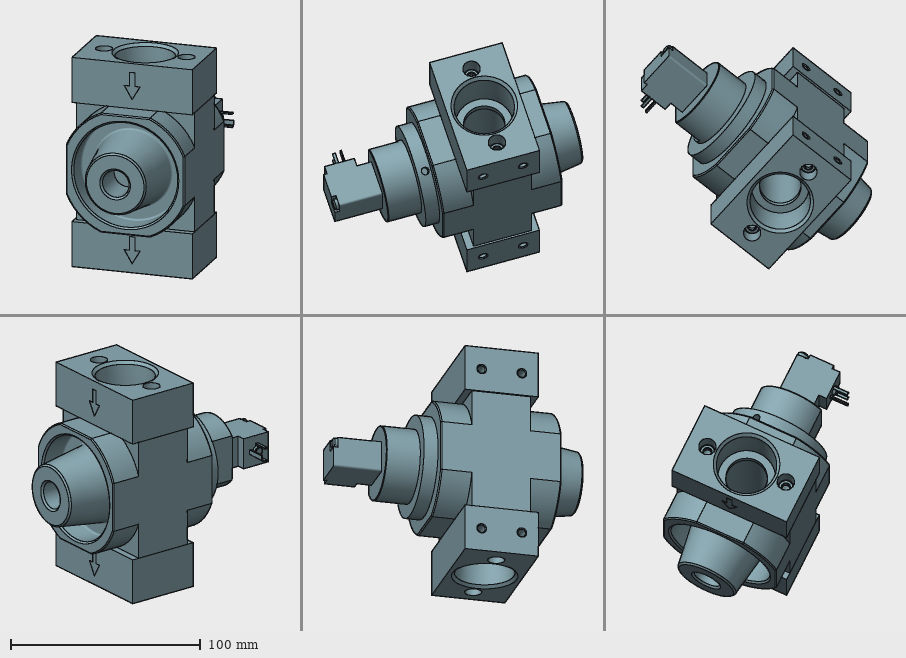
import cadquery as cq
import math

HOUSING_SIDE = 66.0
HOUSING_LENGTH = 66.0
CORNER_DIAMETER = 71.4
BAND_WIDTH = 32.1
EDGE_CHAMFER = 0.7

RECESS_DIAMETER = 57.9
RECESS_MOUTH_CHAMFER = 1.0
RECESS_DEPTH = 13.4
RECESS_FILLET = 1.1

SPOUT_PROJECTION = 16.5
SPOUT_TIP_DIAMETER = 34.0
SPOUT_BASE_DIAMETER = 42.7
SPOUT_CHAMFER = 1.0
SPOUT_BORE_DIAMETER = 14.8
SPOUT_BORE_DEPTH = 20.2
SPOUT_BORE_CHAMFER = 1.1

FLOW_DIAMETER = 22.0

BLOCK_HEIGHT = 25.0
BLOCK_DEPTH = 40.1
BLOCK_OVERHANG = 1.1
PORT_MOUTH_DIAMETER = 35.1
PORT_CHAMFER = 1.6
PORT_TAPER_DEPTH = 15.8
PORT_ROOT_DIAMETER = 30.5
PORT_DEPTH = 21.6
SIDE_HOLE_SPACING = 22.0
SIDE_HOLE_DIAMETER = 4.2
SIDE_HOLE_MOUTH_DIAMETER = 5.3
SIDE_HOLE_DEPTH = 9.5
DRILL_POINT_ANGLE = 118.0
ARROW_LENGTH = 15.0
ARROW_HEAD_LENGTH = 7.4
ARROW_HEAD_WIDTH = 8.8
ARROW_SHAFT_WIDTH = 3.0
ARROW_START = 5.0
ARROW_DEPTH = 0.1

SCREW_SPACING = 45.9
SCREW_HOLE_DIAMETER = 9.0
SCREW_HOLE_DEPTH = 13.5
SCREW_HEAD_DIAMETER = 8.5
SCREW_HEAD_HEIGHT = 5.0
SCREW_HEAD_CHAMFER = 0.5
SCREW_SHANK_DIAMETER = 5.0
SCREW_ENGAGEMENT = 8.1
SOCKET_DIAMETER = 4.0
SOCKET_CHAMFER = 0.4
SOCKET_DEPTH = 2.7

RING_DIAMETER = 55.0
RING_LENGTH = 7.7
RING_HOLE_DIAMETER = 4.0
RING_HOLE_DEPTH = 5.4
RING_HOLE_ANGLE = 25.0
RING_HOLE_FROM_HOUSING = 3.1

SLEEVE_DIAMETER = 40.0
SLEEVE_LENGTH = 18.5
SLEEVE_COLLAR = 2.0
SLEEVE_FLAT_OFFSET = 15.5
SLEEVE_CHAMFER = 0.4

COIL_WIDTH = 20.2
COIL_HEIGHT = 17.1
COIL_LENGTH = 26.3
COIL_FILLET = 1.1
NOTCH_WIDTH = 6.5
NOTCH_HEIGHT = 6.0
NOTCH_DEPTH = 2.5
KNOB_DIAMETER = 6.0
KNOB_CHAMFER = 0.8

PLUG_PROJECTION = 4.6
PLUG_LENGTH = 16.5
PLUG_SETBACK = 1.9
HUB_SETBACK = 9.6
HUB_DIAMETER = 5.0
HUB_LENGTH = 1.8
HUB_TIP_DIAMETER = 4.2
HUB_TIP_LENGTH = 0.7
CONTACT_LENGTH = 8.4
CONTACT_WIDTH = 1.6
CONTACT_THICKNESS = 0.8
CONTACT_SPACING = 7.3
CONTACT_TIP_CHAMFER = 0.3
EARTH_SETBACK = 13.9
EARTH_LENGTH = 10.4
EARTH_WIDTH = 2.5
EARTH_THICKNESS = 0.8

half_side = HOUSING_SIDE / 2
front_y = -HOUSING_LENGTH / 2
back_y = HOUSING_LENGTH / 2
tip_y = front_y - SPOUT_PROJECTION
floor_y = front_y + RECESS_DEPTH
sleeve_y = back_y + RING_LENGTH
coil_y = sleeve_y + SLEEVE_LENGTH
coil_end_y = coil_y + COIL_LENGTH
block_top_z = half_side + BLOCK_HEIGHT
screw_seat_z = block_top_z - SCREW_HOLE_DEPTH


def y_cylinder(diameter, start_y, length):
    """Cylinder on the valve axis, running toward +Y from start_y."""
    return cq.Workplane("XZ", origin=(0, start_y, 0)).circle(diameter / 2).extrude(-length)


def y_revolve(profile):
    """Solid of revolution about the valve axis from (radius, y) points."""
    return cq.Workplane("XY").polyline(profile).close().revolve(360, (0, 0, 0), (0, 1, 0))


def z_cylinder(diameter, bottom_z, height, x=0.0):
    """Vertical cylinder rising from bottom_z at the given X."""
    return cq.Workplane("XY", origin=(x, 0, bottom_z)).circle(diameter / 2).extrude(height)


def screw_positions():
    return [-SCREW_SPACING / 2, SCREW_SPACING / 2]


def turned_over(body):
    """Copy of a body from the upper side, mirrored to the lower side."""
    return body.mirror("XY")


def housing_shell():
    prism = cq.Workplane("XY").box(HOUSING_SIDE, HOUSING_LENGTH, HOUSING_SIDE)
    round_stock = y_cylinder(CORNER_DIAMETER, front_y, HOUSING_LENGTH)
    rounded = prism.intersect(round_stock).faces("<Y or >Y").chamfer(EDGE_CHAMFER)
    band = cq.Workplane("XY").box(HOUSING_SIDE, BAND_WIDTH, HOUSING_SIDE)
    return rounded.union(band)


def spout_cone():
    """Tapered spout from its chamfered tip to the recess floor."""
    tip_radius = SPOUT_TIP_DIAMETER / 2
    return y_revolve([
        (0, tip_y),
        (tip_radius - SPOUT_CHAMFER, tip_y),
        (tip_radius, tip_y + SPOUT_CHAMFER),
        (SPOUT_BASE_DIAMETER / 2, floor_y),
        (0, floor_y),
    ])


def annular_recess():
    """Recess around the spout, filleted along both edges of its floor."""
    mouth_y = front_y + RECESS_MOUTH_CHAMFER
    wall_radius = RECESS_DIAMETER / 2
    mouth = y_revolve([
        (0, front_y),
        (wall_radius + RECESS_MOUTH_CHAMFER, front_y),
        (wall_radius, mouth_y),
        (0, mouth_y),
    ])
    recess = y_cylinder(RECESS_DIAMETER, front_y, RECESS_DEPTH).union(mouth).cut(spout_cone())
    return recess.faces(">Y").edges().fillet(RECESS_FILLET)


def spout_bore():
    bore_radius = SPOUT_BORE_DIAMETER / 2
    return y_revolve([
        (0, tip_y),
        (bore_radius + SPOUT_BORE_CHAMFER, tip_y),
        (bore_radius, tip_y + SPOUT_BORE_CHAMFER),
        (bore_radius, tip_y + SPOUT_BORE_DEPTH),
        (0, tip_y + SPOUT_BORE_DEPTH),
    ])


def make_housing():
    body = housing_shell().cut(annular_recess()).union(spout_cone()).cut(spout_bore())
    body = body.cut(z_cylinder(FLOW_DIAMETER, -half_side, HOUSING_SIDE))
    for x in screw_positions():
        hole = z_cylinder(SCREW_SHANK_DIAMETER, half_side - SCREW_ENGAGEMENT, SCREW_ENGAGEMENT, x)
        body = body.cut(hole).cut(turned_over(hole))
    return body


def port_cavity():
    mouth_radius = PORT_MOUTH_DIAMETER / 2
    root_radius = PORT_ROOT_DIAMETER / 2
    profile = [
        (0, block_top_z),
        (mouth_radius, block_top_z),
        (mouth_radius - PORT_CHAMFER, block_top_z - PORT_CHAMFER),
        (root_radius, block_top_z - PORT_TAPER_DEPTH),
        (root_radius, block_top_z - PORT_DEPTH),
        (0, block_top_z - PORT_DEPTH),
    ]
    return cq.Workplane("XZ").polyline(profile).close().revolve(360, (0, 0, 0), (0, 1, 0))


def side_hole(y):
    """Blind drilled hole with a countersunk mouth in the overhanging -X side."""
    radius = SIDE_HOLE_DIAMETER / 2
    mouth_radius = SIDE_HOLE_MOUTH_DIAMETER / 2
    point_length = radius / math.tan(math.radians(DRILL_POINT_ANGLE / 2))
    profile = [
        (0, 0),
        (0, mouth_radius),
        (mouth_radius - radius, radius),
        (SIDE_HOLE_DEPTH, radius),
        (SIDE_HOLE_DEPTH + point_length, 0),
    ]
    hole = cq.Workplane("XY").polyline(profile).close().revolve(360, (0, 0, 0), (1, 0, 0))
    return hole.translate((-half_side - BLOCK_OVERHANG, y, half_side + BLOCK_HEIGHT / 2))


def flow_arrow(tail_z):
    """Shallow arrow engraved in the front face, pointing down from tail_z."""
    arrow_x = -BLOCK_OVERHANG / 2
    shaft = ARROW_SHAFT_WIDTH / 2
    head = ARROW_HEAD_WIDTH / 2
    shoulder_z = tail_z - ARROW_LENGTH + ARROW_HEAD_LENGTH
    outline = [
        (arrow_x - shaft, tail_z),
        (arrow_x + shaft, tail_z),
        (arrow_x + shaft, shoulder_z),
        (arrow_x + head, shoulder_z),
        (arrow_x, tail_z - ARROW_LENGTH),
        (arrow_x - head, shoulder_z),
        (arrow_x - shaft, shoulder_z),
    ]
    plane = cq.Workplane("XZ", origin=(0, -BLOCK_DEPTH / 2, 0))
    return plane.polyline(outline).close().extrude(-ARROW_DEPTH)


def make_plain_block():
    """Upper port block without its arrow."""
    block = cq.Workplane("XY").box(HOUSING_SIDE + BLOCK_OVERHANG, BLOCK_DEPTH, BLOCK_HEIGHT)
    block = block.translate((-BLOCK_OVERHANG / 2, 0, half_side + BLOCK_HEIGHT / 2))
    block = block.cut(port_cavity()).cut(z_cylinder(FLOW_DIAMETER, half_side, BLOCK_HEIGHT))
    for y in (-SIDE_HOLE_SPACING / 2, SIDE_HOLE_SPACING / 2):
        block = block.cut(side_hole(y))
    for x in screw_positions():
        block = block.cut(z_cylinder(SCREW_HOLE_DIAMETER, screw_seat_z, SCREW_HOLE_DEPTH, x))
        block = block.cut(z_cylinder(SCREW_SHANK_DIAMETER, half_side, BLOCK_HEIGHT, x))
    return block


def make_blocks():
    upper = make_plain_block()
    lower = turned_over(upper)
    upper_tail_z = block_top_z - ARROW_START
    lower_tail_z = -half_side - ARROW_START
    return [upper.cut(flow_arrow(upper_tail_z)), lower.cut(flow_arrow(lower_tail_z))]


def make_screw(x):
    head = z_cylinder(SCREW_HEAD_DIAMETER, screw_seat_z, SCREW_HEAD_HEIGHT, x)
    head = head.faces(">Z").chamfer(SCREW_HEAD_CHAMFER)
    socket_radius = SOCKET_DIAMETER / 2
    point_length = socket_radius / math.tan(math.radians(DRILL_POINT_ANGLE / 2))
    profile = [
        (0, 0),
        (socket_radius + SOCKET_CHAMFER, 0),
        (socket_radius, -SOCKET_CHAMFER),
        (socket_radius, -SOCKET_DEPTH),
        (0, -SOCKET_DEPTH - point_length),
    ]
    socket = cq.Workplane("XZ").polyline(profile).close().revolve(360, (0, 0, 0), (0, 1, 0))
    head = head.cut(socket.translate((x, 0, screw_seat_z + SCREW_HEAD_HEIGHT)))
    shank_bottom_z = half_side - SCREW_ENGAGEMENT
    shank = z_cylinder(SCREW_SHANK_DIAMETER, shank_bottom_z, screw_seat_z - shank_bottom_z, x)
    return head.union(shank)


def make_screws():
    screws = []
    for x in screw_positions():
        screw = make_screw(x)
        screws += [screw, turned_over(screw)]
    return screws


def make_ring():
    ring = y_cylinder(RING_DIAMETER, back_y, RING_LENGTH)
    hole = z_cylinder(RING_HOLE_DIAMETER, RING_DIAMETER / 2 - RING_HOLE_DEPTH, 2 * RING_HOLE_DEPTH)
    hole = hole.rotate((0, 0, 0), (0, 1, 0), -RING_HOLE_ANGLE)
    return ring.cut(hole.translate((0, back_y + RING_HOLE_FROM_HOUSING, 0)))


def make_sleeve():
    sleeve = y_cylinder(SLEEVE_DIAMETER, sleeve_y, SLEEVE_LENGTH)
    sleeve = sleeve.faces(">Y").chamfer(SLEEVE_CHAMFER)
    flat = cq.Workplane("XY").box(
        SLEEVE_DIAMETER, SLEEVE_LENGTH, SLEEVE_DIAMETER, centered=(False, False, True)
    )
    return sleeve.cut(flat.translate((SLEEVE_FLAT_OFFSET, sleeve_y + SLEEVE_COLLAR, 0)))


def coil_case():
    case = cq.Workplane("XY").box(COIL_WIDTH, COIL_LENGTH, COIL_HEIGHT, centered=(True, False, True))
    case = case.translate((0, coil_y, 0)).edges("|Y and <X").fillet(COIL_FILLET)
    notch = cq.Workplane("XY").box(NOTCH_WIDTH, NOTCH_DEPTH, NOTCH_HEIGHT, centered=False)
    notch_corner = (-COIL_WIDTH / 2, coil_end_y - NOTCH_DEPTH, COIL_HEIGHT / 2 - NOTCH_HEIGHT)
    return case.cut(notch.translate(notch_corner))


def corner_knob():
    knob = y_cylinder(KNOB_DIAMETER, coil_end_y - NOTCH_DEPTH, NOTCH_DEPTH).faces(">Y").chamfer(KNOB_CHAMFER)
    return knob.translate(((KNOB_DIAMETER - COIL_WIDTH) / 2, 0, (COIL_HEIGHT - KNOB_DIAMETER) / 2))


def plug_face():
    plug = cq.Workplane("XY").box(
        PLUG_PROJECTION, PLUG_LENGTH, COIL_HEIGHT, centered=(False, False, True)
    )
    return plug.translate((COIL_WIDTH / 2, coil_end_y - PLUG_SETBACK - PLUG_LENGTH, 0))


def contact(length, width_y, width_z, setback, z):
    """Flat contact pointing to +X from the plug face, bevelled at its tip."""
    blade = cq.Workplane("XY").box(length, width_y, width_z, centered=(False, True, True))
    blade = blade.faces(">X").edges("|Y").chamfer(CONTACT_TIP_CHAMFER)
    return blade.translate((COIL_WIDTH / 2 + PLUG_PROJECTION, coil_end_y - setback, z))


def screw_hub():
    hub = cq.Workplane("YZ").circle(HUB_DIAMETER / 2).extrude(HUB_LENGTH)
    hub = hub.faces(">X").workplane().circle(HUB_TIP_DIAMETER / 2).extrude(HUB_TIP_LENGTH)
    return hub.translate((COIL_WIDTH / 2 + PLUG_PROJECTION, coil_end_y - HUB_SETBACK, 0))


def make_coil():
    coil = coil_case().union(corner_knob()).union(plug_face()).union(screw_hub())
    for z in (-CONTACT_SPACING / 2, CONTACT_SPACING / 2):
        coil = coil.union(contact(CONTACT_LENGTH, CONTACT_WIDTH, CONTACT_THICKNESS, HUB_SETBACK, z))
    return coil.union(contact(EARTH_LENGTH, EARTH_THICKNESS, EARTH_WIDTH, EARTH_SETBACK, 0))


bodies = [make_housing(), *make_blocks(), *make_screws(), make_ring(), make_sleeve(), make_coil()]
result = cq.Compound.makeCompound([body.val() for body in bodies])